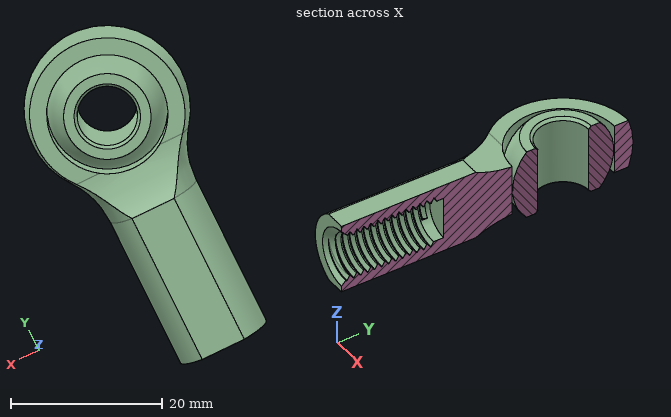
import cadquery as cq
import math

total_length = 45.95
head_radius = 11.05
head_thickness = 7.95
ball_centre_y = total_length - head_radius

shank_radius = 12.75 / 2
shank_length = 21.15
flat_width = 11.1

ball_diameter = 16.05
ball_height = flat_width
ball_bore_diameter = 7.95
ball_bore_chamfer = 0.4

thread_minor_radius = 6.55 / 2
thread_major_radius = 7.95 / 2
thread_pitch = 1.1
thread_depth = 16.1
thread_half_angle = math.radians(30)
thread_root_width = 0.1
thread_overlap = 0.2
countersink_radius = 4.55
countersink_depth = countersink_radius - thread_minor_radius

neck_drop = ball_centre_y - shank_length
neck_radius = (neck_drop**2 + shank_radius**2 - head_radius**2) / (2 * (head_radius - shank_radius))
neck_centre_x = shank_radius + neck_radius
neck_angle = math.atan2(neck_drop, neck_centre_x)
neck_end_x = head_radius * math.cos(neck_angle)
neck_end_y = ball_centre_y - head_radius * math.sin(neck_angle)
neck_mid_angle = neck_angle / 2
neck_mid = (
    neck_centre_x - neck_radius * math.cos(neck_mid_angle),
    shank_length + neck_radius * math.sin(neck_mid_angle),
)


def revolved_blank():
    """Shank, neck and spherical head as one revolution about the Y axis."""
    head_mid_angle = (math.pi / 2 - neck_angle) / 2
    head_mid = (
        head_radius * math.cos(head_mid_angle),
        ball_centre_y + head_radius * math.sin(head_mid_angle),
    )
    return (
        cq.Workplane("XY")
        .lineTo(shank_radius, 0)
        .lineTo(shank_radius, shank_length)
        .threePointArc(neck_mid, (neck_end_x, neck_end_y))
        .threePointArc(head_mid, (0, total_length))
        .close()
        .revolve(360, (0, 0, 0), (0, 1, 0))
    )


def side_envelope():
    """Thickness along Z: shank flats, concave ramps, then the thinner head."""
    half_flat = flat_width / 2
    half_head = head_thickness / 2
    ramp_length = neck_end_y - shank_length
    ramp_rise = half_flat - half_head
    ramp_radius = (ramp_length**2 + ramp_rise**2) / (2 * ramp_rise)
    ramp_mid_y = neck_end_y - ramp_length / 2
    ramp_mid_z = half_head + ramp_radius - math.sqrt(ramp_radius**2 - (ramp_length / 2) ** 2)
    return (
        cq.Workplane("YZ")
        .moveTo(0, -half_flat)
        .lineTo(shank_length, -half_flat)
        .threePointArc((ramp_mid_y, -ramp_mid_z), (neck_end_y, -half_head))
        .lineTo(total_length, -half_head)
        .lineTo(total_length, half_head)
        .lineTo(neck_end_y, half_head)
        .threePointArc((ramp_mid_y, ramp_mid_z), (shank_length, half_flat))
        .lineTo(0, half_flat)
        .close()
        .extrude(head_radius, both=True)
    )


def ball_seat():
    """Cylinder along Z that holds the ball at its equator."""
    return (
        cq.Workplane("XY")
        .center(0, ball_centre_y)
        .circle(ball_diameter / 2)
        .extrude(head_thickness, both=True)
    )


def threaded_hole_core():
    """Blind minor bore with its conical entry, revolved about Y."""
    return (
        cq.Workplane("XY")
        .lineTo(countersink_radius, 0)
        .lineTo(thread_minor_radius, countersink_depth)
        .lineTo(thread_minor_radius, thread_depth)
        .lineTo(0, thread_depth)
        .close()
        .revolve(360, (0, 0, 0), (0, 1, 0))
    )


def thread_groove():
    """Left-hand helical V groove that runs out through the conical entry."""
    inner_radius = thread_minor_radius - thread_overlap
    groove_length = thread_depth - thread_pitch
    half_root = thread_root_width / 2
    half_mouth = half_root + (thread_major_radius - inner_radius) * math.tan(thread_half_angle)
    helix = cq.Wire.makeHelix(thread_pitch, groove_length, inner_radius, lefthand=True)
    groove = (
        cq.Workplane("XZ")
        .moveTo(inner_radius, -half_mouth)
        .lineTo(thread_major_radius, -half_root)
        .lineTo(thread_major_radius, half_root)
        .lineTo(inner_radius, half_mouth)
        .close()
        .sweep(cq.Workplane(helix), isFrenet=True)
    )
    return groove.rotate((0, 0, 0), (1, 0, 0), -90)


def make_housing():
    housing = revolved_blank().intersect(side_envelope()).cut(ball_seat())
    return housing.cut(threaded_hole_core()).cut(thread_groove()).solids()


def make_ball():
    """Sphere truncated at both ends, with a chamfered bore along Z."""
    slab = cq.Workplane("XY").box(ball_diameter, ball_diameter, ball_height)
    ball = cq.Workplane("XY").sphere(ball_diameter / 2).intersect(slab)
    ball = ball.faces(">Z").workplane().hole(ball_bore_diameter)
    bore_edges = cq.selectors.RadiusNthSelector(0)
    ball = ball.faces("|Z").edges(bore_edges).chamfer(ball_bore_chamfer)
    return ball.translate((0, ball_centre_y, 0)).solids()


housing = make_housing()
ball = make_ball()

result = cq.Compound.makeCompound([housing.val(), ball.val()])